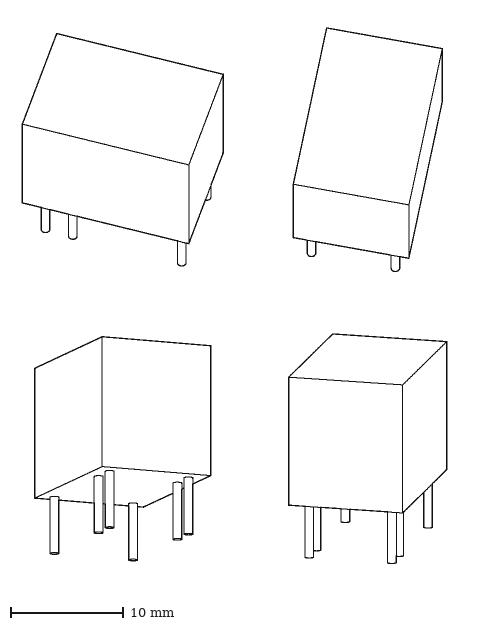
import cadquery as cq

HOUSING_LENGTH = 15.5
HOUSING_WIDTH = 10.5
OVERALL_HEIGHT = 16.9
PIN_LENGTH = 5.1
HOUSING_HEIGHT = OVERALL_HEIGHT - PIN_LENGTH

PIN_DIAMETER = 0.8
PIN_PITCH = 2.54
PIN_END_INSET = 1.72
PIN_COLUMN_STEPS = (0, 1, 5)
ROW_SPACING = 3 * PIN_PITCH

FIRST_PIN_X = PIN_END_INSET - HOUSING_LENGTH / 2


def make_housing():
    """Block centred on the Z axis, with its underside at Z = 0."""
    return cq.Workplane("XY").box(
        HOUSING_LENGTH, HOUSING_WIDTH, HOUSING_HEIGHT, centered=(True, True, False)
    )


def make_pin(x, y):
    """Round pin hanging from the housing underside."""
    return cq.Workplane("XY").center(x, y).circle(PIN_DIAMETER / 2).extrude(-PIN_LENGTH)


housing = make_housing()

pins = []
for row_y in (-ROW_SPACING / 2, ROW_SPACING / 2):
    for step in PIN_COLUMN_STEPS:
        pins.append(make_pin(FIRST_PIN_X + step * PIN_PITCH, row_y))

result = cq.Compound.makeCompound([housing.val(), *[pin.val() for pin in pins]])